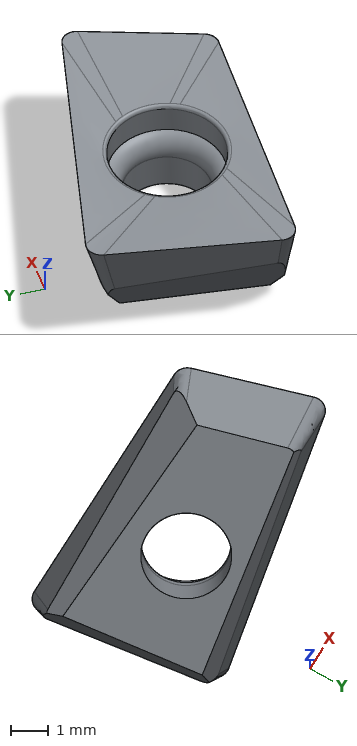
import cadquery as cq
import math

TOP_CORNERS = [(-0.06, 0.0), (7.9, 0.0), (9.05, 3.925), (0.71, 5.63)]
BLANK_HEIGHT = 3.58
CORNER_RADIUS_BOTTOM = 0.28
CORNER_RADIUS_BLANK = 0.46
EDGE_HEIGHT = 2.79
EDGE_FALL_X = 0.035
EDGE_RISE_Y = 0.041

BOTTOM_CORNERS = [(1.06, 0.49), (7.36, 0.77), (8.15, 3.35), (1.54, 4.49)]

UPPER_CLEARANCES = [5.0, 13.9, 13.3, 13.0]
LOWER_CLEARANCES = [23.3, None, 24.3, 25.4]

HOLE_X = 4.18
HOLE_Y = 2.41
RIM_Z = 2.57
RIM_RADIUS = 1.7
RIM_ROUND = 0.11
HEAD_RADIUS = RIM_RADIUS - RIM_ROUND
SEAT_TOP_Z = 1.67
THROAT_TOP_Z = 1.03
THROAT_RADIUS = 1.2

RIM_ANGLES = [226.8, 336.7, 32.0, 148.2]
RIM_HALF_SPREAD = 4.5

BLOCK_SIZE = 35.76


def edge_point(x, y):
    """Point of the cutting edge plane above x, y."""
    return cq.Vector(x, y, EDGE_HEIGHT - EDGE_FALL_X * x + EDGE_RISE_Y * y)


def outside_block(origin, normal):
    """Block filling the outer side of a plane."""
    plane = cq.Plane(origin=origin, normal=normal)
    return cq.Workplane(plane).rect(BLOCK_SIZE, BLOCK_SIZE).extrude(BLOCK_SIZE)


def flank_block(start, end, clearance):
    """Material outside a flank that holds the edge start-end and leans outwards going up."""
    along = end - start
    outward = cq.Vector(along.y, -along.x, 0).normalized()
    up_flank = cq.Vector(0, 0, 1) + outward * math.tan(math.radians(clearance))
    return outside_block(start, along.cross(up_flank))


def cut_flanks(body, corners, clearances):
    for i, clearance in enumerate(clearances):
        if clearance is not None:
            body = body.cut(flank_block(corners[i], corners[(i + 1) % len(corners)], clearance))
    return body


def make_body():
    top_corners = [edge_point(x, y) for x, y in TOP_CORNERS]
    bottom_corners = [cq.Vector(x, y, 0) for x, y in BOTTOM_CORNERS]
    top_normal = cq.Vector(EDGE_FALL_X, -EDGE_RISE_Y, 1)

    body = cq.Workplane("XY").rect(BLOCK_SIZE, BLOCK_SIZE).extrude(BLANK_HEIGHT)
    body = cut_flanks(body, top_corners, UPPER_CLEARANCES)
    lower = body.faces("<Z").val().outerWire()
    upper = body.faces(">Z").val().outerWire()
    lower = lower.fillet2D(CORNER_RADIUS_BOTTOM, lower.Vertices())
    upper = upper.fillet2D(CORNER_RADIUS_BLANK, upper.Vertices())
    body = cq.Workplane(cq.Solid.makeLoft([lower, upper], True))
    body = body.cut(outside_block(top_corners[0], top_normal))
    return cut_flanks(body, bottom_corners, LOWER_CLEARANCES)


def rim_point(angle):
    radians = math.radians(angle)
    return cq.Vector(
        HOLE_X + RIM_RADIUS * math.cos(radians),
        HOLE_Y + RIM_RADIUS * math.sin(radians),
        RIM_Z,
    )


def rim_angle(point):
    """Rim angle joined to one end of a top edge."""
    distances = [(point - edge_point(x, y)).Length for x, y in TOP_CORNERS]
    corner = distances.index(min(distances))
    hole_centre = cq.Vector(HOLE_X, HOLE_Y, RIM_Z)
    corner_vector = edge_point(*TOP_CORNERS[corner]) - hole_centre
    point_vector = point - hole_centre
    side = math.copysign(1, corner_vector.cross(point_vector).z)
    return RIM_ANGLES[corner] + side * RIM_HALF_SPREAD


def make_dish(body):
    """Space between the cutting edge plane and the ruled rake faces running down to the rim."""
    top_wire = body.faces(">Z").val().outerWire()
    rim_edges = []
    for edge in top_wire.Edges():
        start = rim_angle(edge.startPoint())
        end = rim_angle(edge.endPoint())
        sweep = (end - start + 180) % 360 - 180
        rim_edges.append(
            cq.Edge.makeThreePointArc(
                rim_point(start), rim_point(start + sweep / 2), rim_point(end)
            )
        )
    return cq.Workplane(cq.Solid.makeLoft([top_wire, cq.Wire.assembleEdges(rim_edges)], True))


def make_hole():
    """Revolved screw hole: rounded rim, straight head bore, curved seat and throat."""
    slant = math.sqrt(0.5)
    seat_middle = (
        THROAT_RADIUS + (HEAD_RADIUS - THROAT_RADIUS) * (1 - slant),
        THROAT_TOP_Z + (SEAT_TOP_Z - THROAT_TOP_Z) * slant,
    )
    rim_middle = (RIM_RADIUS - RIM_ROUND * slant, RIM_Z - RIM_ROUND * (1 - slant))
    profile = (
        cq.Workplane("XZ")
        .lineTo(THROAT_RADIUS, 0)
        .lineTo(THROAT_RADIUS, THROAT_TOP_Z)
        .threePointArc(seat_middle, (HEAD_RADIUS, SEAT_TOP_Z))
        .lineTo(HEAD_RADIUS, RIM_Z - RIM_ROUND)
        .threePointArc(rim_middle, (RIM_RADIUS, RIM_Z))
        .lineTo(0, RIM_Z)
        .close()
    )
    return profile.revolve(360, (0, 0), (0, 1)).translate((HOLE_X, HOLE_Y, 0))


body = make_body()
result = body.cut(make_dish(body)).cut(make_hole())